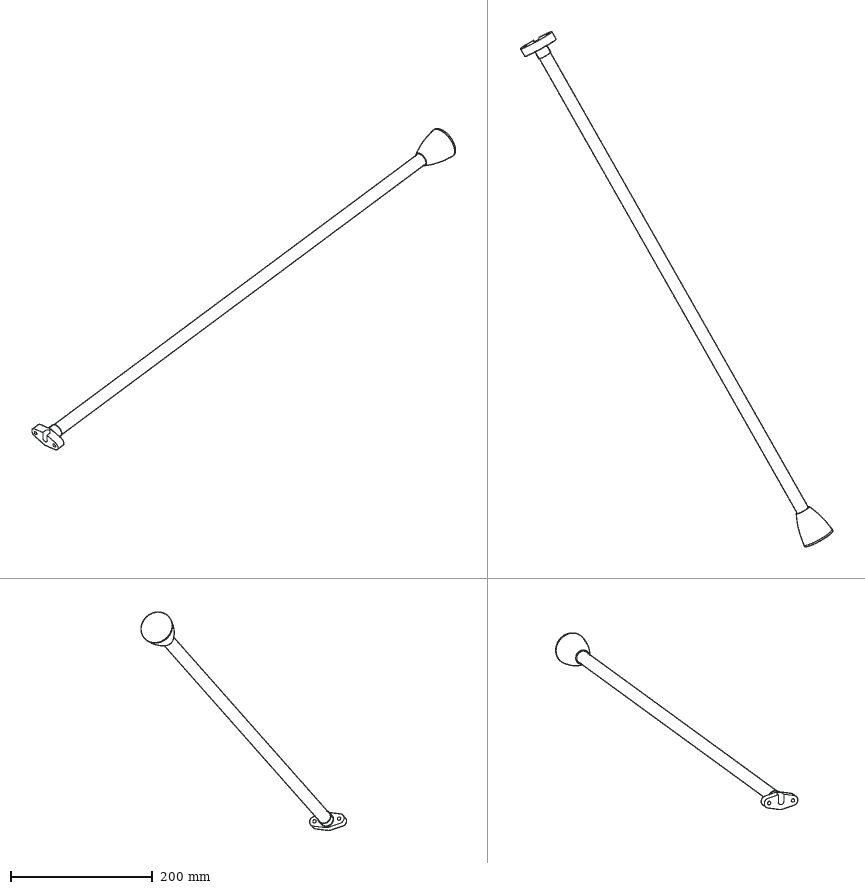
import cadquery as cq
import math

total_length = 821.0

plate_length = 51.0
plate_thickness = 12.0
plate_middle_radius = 11.5
plate_end_radius = 7.0
screw_hole_diameter = 5.0

channel_radius = 4.0
channel_axis_depth = 5.0

rod_diameter = 18.0
collar_diameter = 20.0
collar_length = 12.0

bell_large_radius = 23.0
bell_middle_radius = 19.0
bell_small_radius = 11.0
bell_length = 44.0
disc_thickness = 2.5

plate_end_center = plate_length / 2 - plate_end_radius
bell_end = total_length - disc_thickness
bell_start = bell_end - bell_length
bell_middle = bell_end - bell_length / 2


def cylinder_along_y(diameter, start, end, x=0):
    """Solid cylinder parallel to Y between two y positions."""
    return cq.Workplane("XZ", origin=(x, start, 0)).circle(diameter / 2).extrude(start - end)


def plate_outline():
    """A middle arc above and below and an arc at each end, joined by tangent lines."""
    tilt = math.asin((plate_middle_radius - plate_end_radius) / plate_end_center)
    middle_x = plate_middle_radius * math.sin(tilt)
    middle_z = plate_middle_radius * math.cos(tilt)
    end_x = plate_end_center + plate_end_radius * math.sin(tilt)
    end_z = plate_end_radius * math.cos(tilt)
    return (
        cq.Workplane("XZ")
        .moveTo(-middle_x, middle_z)
        .threePointArc((0, plate_middle_radius), (middle_x, middle_z))
        .lineTo(end_x, end_z)
        .threePointArc((plate_length / 2, 0), (end_x, -end_z))
        .lineTo(middle_x, -middle_z)
        .threePointArc((0, -plate_middle_radius), (-middle_x, -middle_z))
        .lineTo(-end_x, -end_z)
        .threePointArc((-plate_length / 2, 0), (-end_x, end_z))
        .close()
    )


def channel_cutter():
    """Round-bottomed slot, open at the front and top, with a ball-shaped inner corner."""
    corner_plane = cq.Workplane("XY", origin=(0, channel_axis_depth, 0))
    ball = corner_plane.sphere(channel_radius)
    upright = corner_plane.circle(channel_radius).extrude(plate_middle_radius)
    entry = cylinder_along_y(2 * channel_radius, 0, channel_axis_depth)
    slot = cq.Workplane("XY").box(
        2 * channel_radius, channel_axis_depth, plate_middle_radius, centered=(True, False, False)
    )
    return slot.union(upright).union(entry).union(ball)


def make_plate():
    """Wall plate with a screw hole at the center of each end arc and the channel."""
    plate = plate_outline().extrude(-plate_thickness)
    for x in (-plate_end_center, plate_end_center):
        plate = plate.cut(cylinder_along_y(screw_hole_diameter, 0, plate_thickness, x))
    return plate.cut(channel_cutter())


def make_rod():
    """Rod from the back of the plate, through collar and bell, to the disc."""
    return cylinder_along_y(rod_diameter, plate_thickness, bell_end)


def make_collar():
    """Sleeve around the rod, standing on the plate."""
    collar_end = plate_thickness + collar_length
    collar = cylinder_along_y(collar_diameter, plate_thickness, collar_end)
    return collar.cut(cylinder_along_y(rod_diameter, plate_thickness, collar_end))


def make_bell():
    """Flared bell with a convex flank, bored for the rod."""
    return (
        cq.Workplane("XY")
        .moveTo(rod_diameter / 2, bell_start)
        .lineTo(bell_small_radius, bell_start)
        .threePointArc((bell_middle_radius, bell_middle), (bell_large_radius, bell_end))
        .lineTo(rod_diameter / 2, bell_end)
        .close()
        .revolve(360, (0, 0, 0), (0, 1, 0))
    )


def make_disc():
    """Flat disc closing the wide end of the bell."""
    return cylinder_along_y(2 * bell_large_radius, bell_end, total_length)


plate = make_plate()
collar = make_collar()
rod = make_rod()
bell = make_bell()
disc = make_disc()

result = cq.Compound.makeCompound([plate.val(), collar.val(), rod.val(), bell.val(), disc.val()])